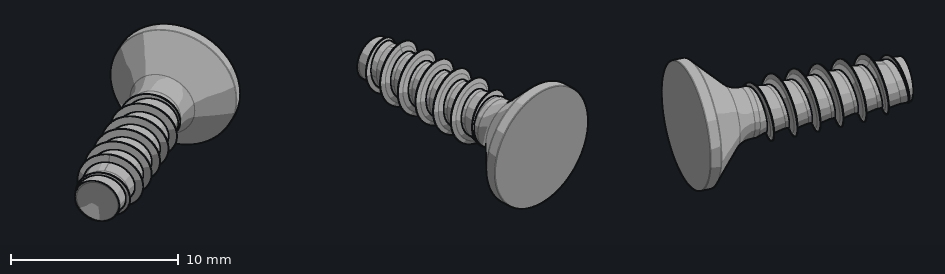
import cadquery as cq
import math


length = 14.0
head_radius = 3.997
head_rim_height = 0.71
head_top_round = 0.04
head_cone_round = 0.07
head_cone_end = 2.66
head_cone_angle = math.radians(45)

neck_radius = 1.58
neck_end = 4.13
core_radius = 1.4
core_start = 4.76

dimple_radius = 1.32
dimple_depth = 0.13

pitch = 1.47
thread_start = 3.75
thread_turns = 7.0
crest_radius = 2.0
crest_half_width = 0.021
first_crest_radius = 1.57
run_in_turns = 1.0
run_out_turns = 1.5
start_angle = -90

head_flank_knee = (-0.13, 1.71)
head_flank_foot = (-0.3, core_radius)
tip_flank_foot = (0.17, 1.54)

root_slope_end = 0.91

embed = 0.21


def make_body():
    """Head, filleted neck and core as one revolved solid."""
    fillet_start_radius = head_radius - (head_cone_end - head_rim_height) * math.tan(head_cone_angle)
    fillet_radius = (fillet_start_radius - neck_radius) / (1 - math.cos(head_cone_angle))
    fillet_end = head_cone_end + fillet_radius * math.sin(head_cone_angle)
    half_angle = head_cone_angle / 2
    fillet_middle = (
        neck_radius + fillet_radius * (1 - math.cos(half_angle)),
        fillet_end - fillet_radius * math.sin(half_angle),
    )
    body = (
        cq.Workplane("XZ")
        .moveTo(0, 0)
        .lineTo(head_radius, 0)
        .lineTo(head_radius, head_rim_height)
        .lineTo(fillet_start_radius, head_cone_end)
        .threePointArc(fillet_middle, (neck_radius, fillet_end))
        .lineTo(neck_radius, neck_end)
        .lineTo(core_radius, core_start)
        .lineTo(core_radius, length)
        .lineTo(0, length)
        .close()
        .revolve(360, (0, 0, 0), (0, 1, 0))
    )
    cone_edge = cq.NearestToPointSelector((0, 0, head_rim_height))
    body = body.edges(cone_edge).fillet(head_cone_round)
    return body.faces("<Z").edges().fillet(head_top_round)


def helix_edge(start_z, start_radius, end_radius, turns):
    """Helix whose radius changes evenly over the given number of turns."""
    rise = turns * pitch
    base = cq.Vector(0, 0, start_z)
    if start_radius == end_radius:
        return cq.Wire.makeHelix(pitch, rise, start_radius, base).Edges()[0]
    cone_angle = math.atan2(end_radius - start_radius, rise)
    slant = 1 / math.cos(cone_angle)
    helix = cq.Wire.makeHelix(
        pitch * slant, rise * slant, start_radius, base, angle=math.degrees(cone_angle)
    )
    return helix.Edges()[0]


def section_outline(points, turn):
    """Closed wire of a thread section, given as (z, radius) corners, after a number of turns."""
    outline = cq.Wire.makePolygon([cq.Vector(r, 0, z + turn * pitch) for z, r in points], close=True)
    return outline.rotate(cq.Vector(0, 0, 0), cq.Vector(0, 0, 1), 360 * turn)


def helical_solid(stations):
    """Solid through (turn, section) stations; sections list matching (z, radius) corners."""
    faces = []
    for turn, section in (stations[0], stations[-1]):
        faces.append(cq.Face.makeFromWires(section_outline(section, turn)))
    for (turn, section), (next_turn, next_section) in zip(stations, stations[1:]):
        edges = []
        for (z, radius), (_, next_radius) in zip(section, next_section):
            edge = helix_edge(z + turn * pitch, radius, next_radius, next_turn - turn)
            edges.append(edge.rotate(cq.Vector(0, 0, 0), cq.Vector(0, 0, 1), 360 * turn))
        for edge, next_edge in zip(edges, edges[1:] + edges[:1]):
            faces.append(cq.Face.makeRuledSurface(edge, next_edge))
    solid = cq.Solid.makeSolid(cq.Shell.makeShell(faces)).fix()
    placed = solid.rotate(cq.Vector(0, 0, 0), cq.Vector(0, 0, 1), start_angle)
    return cq.Workplane(placed.translate(cq.Vector(0, 0, thread_start)))


def tooth_section(tip_radius):
    """Tooth with its crest at tip_radius; a lower tooth is sunk into the core."""
    foot_radius = core_radius - embed
    full_tooth = [
        (head_flank_foot[0], foot_radius),
        head_flank_foot,
        head_flank_knee,
        (-crest_half_width, crest_radius),
        (crest_half_width, crest_radius),
        tip_flank_foot,
        (tip_flank_foot[0], foot_radius),
    ]
    sink = crest_radius - tip_radius
    return [(z, r - sink) for z, r in full_tooth]


def make_tooth():
    """Thread tooth that rises out of the neck and fades into the core at the tip."""
    full = tooth_section(crest_radius)
    return helical_solid([
        (0, tooth_section(first_crest_radius)),
        (run_in_turns, full),
        (thread_turns - run_out_turns, full),
        (thread_turns, tooth_section(core_radius)),
    ])


def root_section(height_ratio):
    """Root slope, starting inside the tooth; height_ratio 0 lays it onto the core."""
    foot_z, foot_radius = tip_flank_foot
    slope = (foot_radius - core_radius) / (root_slope_end - foot_z)
    top_radius = core_radius + height_ratio * slope * (root_slope_end - crest_half_width)
    return [
        (crest_half_width, core_radius - embed),
        (crest_half_width, top_radius),
        (root_slope_end, core_radius),
        (root_slope_end, core_radius - embed),
    ]


def make_root_slope():
    """Ramp that follows the tooth on its tip side."""
    full = root_section(1)
    return helical_solid([
        (0, full),
        (thread_turns - run_out_turns, full),
        (thread_turns, root_section(0)),
    ])


def make_dimple():
    """Shallow cone that is taken out of the tip."""
    return (
        cq.Workplane("XZ")
        .moveTo(0, length)
        .lineTo(dimple_radius, length)
        .lineTo(0, length - dimple_depth)
        .close()
        .revolve(360, (0, 0, 0), (0, 1, 0))
    )


def make_screw():
    """Whole screw, with the thread trimmed flush with the tip."""
    beyond_tip = cq.Workplane("XY", origin=(0, 0, length)).circle(head_radius).extrude(pitch)
    helical = make_tooth().union(make_root_slope()).cut(beyond_tip)
    return make_body().union(helical).cut(make_dimple())


result = make_screw().rotate((0, 0, 0), (1, 0, 0), 90)